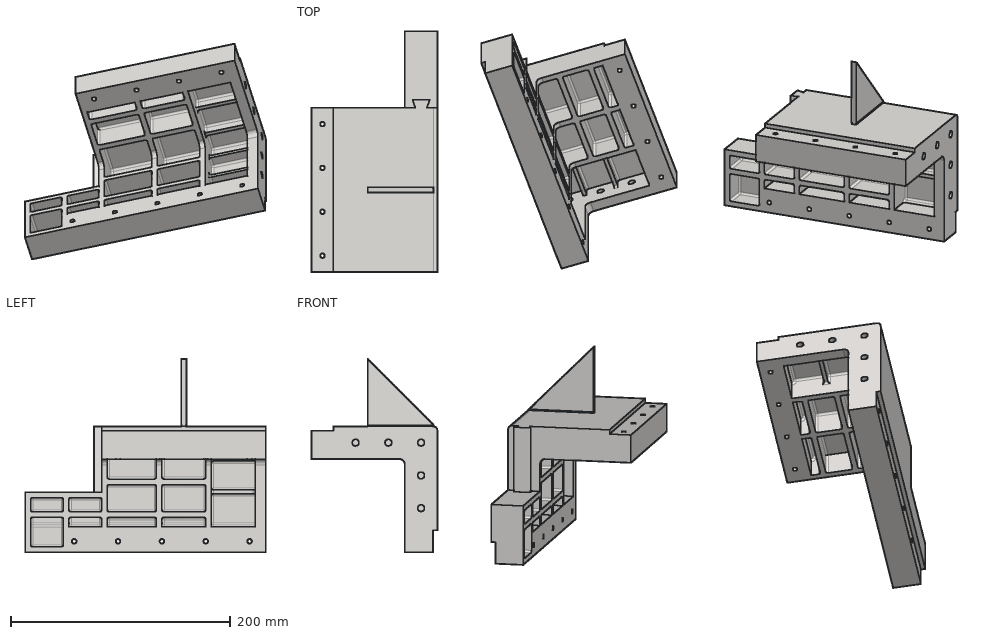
import cadquery as cq
import math


leg_length = 115.0
leg_thickness = 30.0
arm_width = 150.0
wall_width = 220.0
extension_height = 55.0
step_width = 20.0
step_depth = 4.0
outer_corner_radius = 4.0
inner_corner_radius = 5.0
mouth = leg_length - leg_thickness

gusset_leg = 60.5
gusset_left = 51.3
gusset_thickness = 5.0
gusset_center_y = 75.0
gusset_foot_height = 1.0
gusset_foot_thickness = 4.2
gusset_foot_overlap = 2.2

key_center_x = leg_length - leg_thickness / 2
key_length = 7.0
key_neck = 10.5
key_tip = 15.6

screw_diameter = 4.0
screw_first_y = 15.0
screw_pitch = 40.0
screw_edge_distance = step_width / 2
arm_screws = 4
wall_screws = 5
bolt_diameter = 6.2
bolt_pitch = 30.0
bolts_per_leg = 3
flange_thickness = 10.0

skin = 5.0
web = 5.0
pocket_round = 2.0
step_round = step_depth / 2
deep_floor = leg_length - skin
shallow_floor = deep_floor - step_depth
pocket_start = mouth - inner_corner_radius
pocket_base = 23.0
lower_web_bottom = 32.0
row_pitch = 30.0
lower_web_top = lower_web_bottom + web
upper_web_bottom = lower_web_bottom + row_pitch
upper_web_top = upper_web_bottom + web

chamber_depth = 15.0
chamber_floor = mouth + chamber_depth
chamber_back = 50.0
rib_top = 57.0
rib_thickness = 3.5
rib_bottom = rib_top - rib_thickness
upper_cell_top = rib_bottom + row_pitch

arm_columns = [(55.0, 95.0), (100.0, 145.0)]
inner_extension_column = (150.0, 180.0)
outer_extension_column = (185.0, wall_width - web)


def block(x_span, y_span, z_span):
    sizes = [span[1] - span[0] for span in (x_span, y_span, z_span)]
    corner = (x_span[0], y_span[0], z_span[0])
    return cq.Workplane("XY").box(*sizes, centered=False).translate(corner)


def mirror_leg(body):
    """Swap X and Z, which carries a wall feature onto the arm."""
    return body.mirror((1, 0, -1))


def extrude_along_y(profile, y_span):
    """Extrude an XZ profile, drawn at Y = 0, over the given Y span."""
    return profile.extrude(y_span[0] - y_span[1]).translate((0, y_span[0], 0))


def make_legs():
    arm = block((0, leg_length), (0, arm_width), (mouth, leg_length))
    wall = block((mouth, leg_length), (0, arm_width), (0, leg_length))
    legs = arm.union(wall)
    legs = legs.edges("|Y").edges(">X and >Z").fillet(outer_corner_radius)
    inner_corner = cq.selectors.NearestToPointSelector((mouth, arm_width / 2, mouth))
    legs = legs.edges(inner_corner).fillet(inner_corner_radius)
    extension = block((mouth, leg_length), (arm_width, wall_width), (0, extension_height))
    wall_step = block((leg_length - step_depth, leg_length), (0, wall_width), (0, step_width))
    return legs.union(extension).cut(wall_step).cut(mirror_leg(wall_step))


def make_gusset():
    plate_y = (gusset_center_y - gusset_thickness / 2, gusset_center_y + gusset_thickness / 2)
    foot_y = (gusset_center_y - gusset_foot_thickness / 2, gusset_center_y + gusset_foot_thickness / 2)
    base = leg_length + gusset_foot_height
    triangle = (
        cq.Workplane("XZ")
        .moveTo(gusset_left, base)
        .lineTo(gusset_left + gusset_leg, base)
        .lineTo(gusset_left, base + gusset_leg)
        .close()
    )
    plate = extrude_along_y(triangle, plate_y)
    foot_x = (gusset_left, leg_length - outer_corner_radius)
    foot = block(foot_x, foot_y, (leg_length - gusset_foot_overlap, base))
    return plate.union(foot)


def make_dovetail_key():
    return (
        cq.Workplane("XY", origin=(key_center_x, arm_width, extension_height))
        .moveTo(-key_neck / 2, 0)
        .lineTo(key_neck / 2, 0)
        .lineTo(key_tip / 2, key_length)
        .lineTo(-key_tip / 2, key_length)
        .close()
        .extrude(leg_length - extension_height)
    )


def closed_pocket(y_span, z_span, round_back=True):
    """Flat-floored pocket, rounded but for its mouth and, if asked, the rear edge of its floor."""
    body = block((pocket_start, deep_floor), y_span, z_span)
    floor_edges = ">X" if round_back else "(>X and (not >Y))"
    return body.edges(f"|X or {floor_edges}").fillet(pocket_round)


def stepped_profile(bottom, top):
    """Pocket section whose floor follows the outer step in an S-shaped blend."""
    bend = step_round * math.sqrt(0.5)
    middle_x = shallow_floor + step_round
    middle_z = pocket_base + step_round
    profile = cq.Workplane("XZ").moveTo(pocket_start, bottom).lineTo(shallow_floor, bottom)
    if bottom < pocket_base:
        profile = profile.lineTo(shallow_floor, pocket_base)
    return (
        profile
        .threePointArc((middle_x - bend, pocket_base + bend), (middle_x, middle_z))
        .threePointArc((middle_x + bend, middle_z + step_round - bend), (deep_floor, middle_z + step_round))
        .lineTo(deep_floor, top)
        .lineTo(pocket_start, top)
        .close()
    )


def stepped_pocket(y_span, top, bottom=pocket_base, round_sides=(">Y", "<Y"), round_top=True):
    body = extrude_along_y(stepped_profile(bottom, top), y_span)
    closed_below = bottom < pocket_base
    edges = cq.Workplane("XY").newObject([])
    for side in round_sides:
        sharp = "<X" if closed_below else "<X or <Z"
        edges = edges.add(body.faces(side).edges(f"not({sharp})"))
    if round_top:
        edges = edges.add(body.faces(">Z").edges(">X"))
    if closed_below:
        edges = edges.add(body.faces("<Z").edges(">X"))
    return body.newObject([body.val().fillet(pocket_round, edges.vals())])


def make_leg_pockets():
    """Pockets of the wall that the arm repeats."""
    chamber_y = (flange_thickness, chamber_back)
    chamber = block((pocket_start, chamber_floor), chamber_y, (pocket_base, chamber_floor))
    pockets = chamber.edges("|Z and >X").fillet(pocket_round)
    pockets = pockets.union(stepped_pocket(chamber_y, rib_bottom, round_sides=(">Y",)))
    upper_cell = block((pocket_start, deep_floor), chamber_y, (rib_top, upper_cell_top))
    upper_cell = upper_cell.edges("(|X and >Y) or (>X and (not <Y))").fillet(pocket_round)
    pockets = pockets.union(upper_cell)
    middle_row = (lower_web_top, upper_web_bottom)
    for column in arm_columns:
        is_rearmost = column == arm_columns[-1]
        pockets = pockets.union(stepped_pocket(column, lower_web_bottom))
        pockets = pockets.union(closed_pocket(column, middle_row, round_back=not is_rearmost))
    return pockets


def make_corner_pockets():
    """Pockets that open through the inner corner and reach into both legs."""
    outline = [
        (deep_floor, upper_web_top),
        (deep_floor, deep_floor),
        (upper_web_top, deep_floor),
        (upper_web_top, pocket_start),
        (pocket_start, upper_web_top),
    ]
    pockets = cq.Workplane("XY")
    for column in arm_columns:
        body = extrude_along_y(cq.Workplane("XZ").polyline(outline).close(), column)
        pockets = pockets.add(body.edges("not(<(1, 0, 1))").fillet(pocket_round))
    return pockets.combine()


def make_chamber_corner_cell():
    """Cell where the chambers of both legs meet, behind the corner bolt."""
    far_side = (upper_cell_top + rib_thickness, deep_floor)
    body = block(far_side, (flange_thickness, chamber_back), far_side)
    return body.edges("not <Y").edges("not (<X and <Z)").fillet(pocket_round)


def make_extension_pockets():
    upper_row = (lower_web_top, extension_height - web)
    return (
        closed_pocket(inner_extension_column, upper_row)
        .union(closed_pocket(outer_extension_column, upper_row))
        .union(stepped_pocket(inner_extension_column, lower_web_bottom, round_top=False))
        .union(stepped_pocket(outer_extension_column, lower_web_bottom, bottom=web, round_top=False))
    )


def make_screw_holes(count):
    """Row of holes along the foot of the wall."""
    places = [(screw_first_y + i * screw_pitch, screw_edge_distance) for i in range(count)]
    row = cq.Workplane("YZ", origin=(mouth, 0, 0)).pushPoints(places)
    return row.circle(screw_diameter / 2).extrude(leg_thickness)


def make_bolt_holes():
    axis = leg_length - leg_thickness / 2
    along_arm = [(axis - i * bolt_pitch, axis) for i in range(bolts_per_leg)]
    down_wall = [(axis, axis - i * bolt_pitch) for i in range(1, bolts_per_leg)]
    holes = cq.Workplane("XZ").pushPoints(along_arm + down_wall)
    return holes.circle(bolt_diameter / 2).extrude(-flange_thickness)


leg_pockets = make_leg_pockets()
result = (
    make_legs()
    .cut(leg_pockets)
    .cut(mirror_leg(leg_pockets))
    .cut(make_corner_pockets())
    .cut(make_chamber_corner_cell())
    .cut(make_extension_pockets())
    .cut(make_screw_holes(wall_screws))
    .cut(mirror_leg(make_screw_holes(arm_screws)))
    .cut(make_bolt_holes())
    .union(make_dovetail_key())
    .union(make_gusset())
)